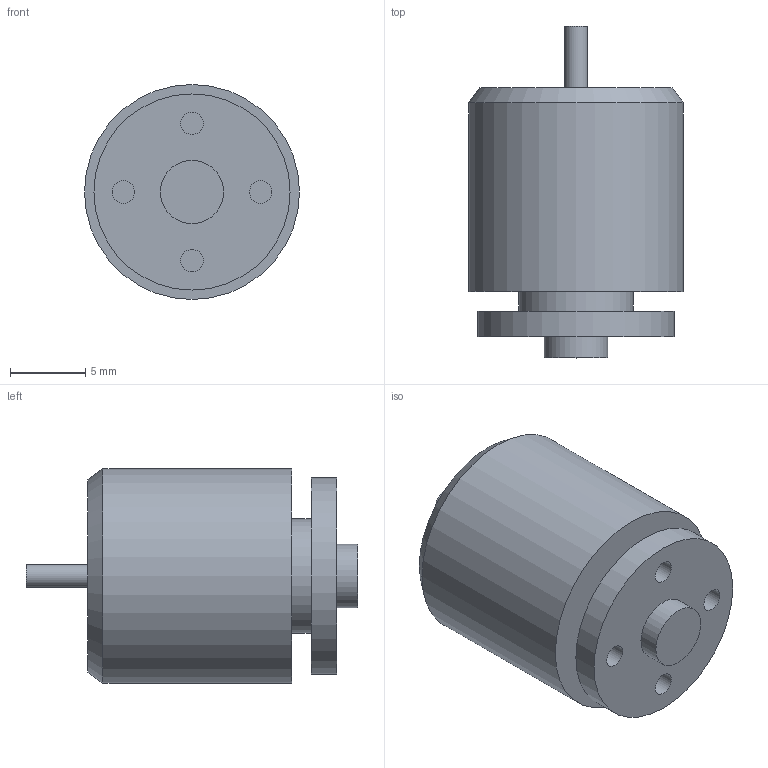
import cadquery as cq
import math


body_diameter = 14.25
shaft_diameter = 1.5
neck_diameter = 7.6
flange_diameter = 13.0
boss_diameter = 4.2

total_length = 22.0
boss_length = 1.4
flange_thickness = 1.7
neck_length = 1.3
body_length = 13.5
shaft_length = total_length - boss_length - flange_thickness - neck_length - body_length

bevel_length = 1.0
bevel_width = 0.75

hole_count = 4
hole_diameter = 1.5
hole_circle_radius = 4.55

flange_back = flange_thickness
body_front = flange_back + neck_length
body_back = body_front + body_length


def cylinder(diameter, start, length):
    """Cylinder about the Y axis running from Y = start towards +Y."""
    axis_start = cq.Vector(0, start, 0)
    axis_direction = cq.Vector(0, 1, 0)
    return cq.Workplane(cq.Solid.makeCylinder(diameter / 2, length, axis_start, axis_direction))


def make_body():
    """Motor can with a bevelled rim at the shaft end."""
    radius = body_diameter / 2
    profile = (
        cq.Workplane("XY")
        .moveTo(0, body_front)
        .lineTo(radius, body_front)
        .lineTo(radius, body_back - bevel_length)
        .lineTo(radius - bevel_width, body_back)
        .lineTo(0, body_back)
        .close()
    )
    return profile.revolve(360, (0, 0, 0), (0, 1, 0))


def make_flange():
    """Flange disc with a ring of through holes."""
    flange = cylinder(flange_diameter, 0, flange_thickness)
    for index in range(hole_count):
        angle = 2 * math.pi * index / hole_count
        x = hole_circle_radius * math.cos(angle)
        z = hole_circle_radius * math.sin(angle)
        hole = cylinder(hole_diameter, 0, flange_thickness).translate((x, 0, z))
        flange = flange.cut(hole)
    return flange


boss = cylinder(boss_diameter, -boss_length, boss_length)
neck = cylinder(neck_diameter, flange_back, neck_length)
shaft = cylinder(shaft_diameter, body_back, shaft_length)

result = make_flange().union(boss).union(neck).union(make_body()).union(shaft)